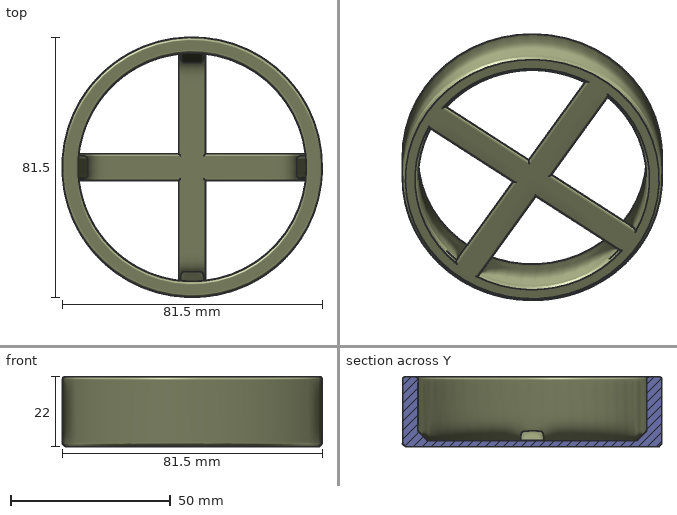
import cadquery as cq

outer_diameter = 81.5
inner_diameter = 71.5
ring_height = 22.0
top_edge_radius = 1.0
bottom_chamfer = 1.0
chamfer_blend_radius = 1.0

bar_width = 8.5
bar_thickness = 2.0
bar_edge_radius = 0.7

gusset_count = 4
gusset_width = bar_width - 2 * bar_edge_radius
gusset_reach = 3.0
gusset_rise = 3.0
gusset_edge_radius = 1.0

outer_radius = outer_diameter / 2
inner_radius = inner_diameter / 2
embed_radius = (inner_radius + outer_radius) / 2


def make_ring():
    ring = cq.Workplane("XY").circle(outer_radius).circle(inner_radius).extrude(ring_height)
    ring = ring.faces(">Z").edges().fillet(top_edge_radius)
    ring = ring.faces("<Z").edges().chamfer(bottom_chamfer)

    around_chamfer_top = cq.selectors.BoxSelector(
        (-outer_diameter, -outer_diameter, bottom_chamfer / 2),
        (outer_diameter, outer_diameter, bottom_chamfer * 3 / 2),
    )
    return ring.edges("%CIRCLE").edges(around_chamfer_top).fillet(chamfer_blend_radius)


def make_cross():
    bar_length = 2 * embed_radius
    bar_along_x = cq.Workplane("XY").rect(bar_length, bar_width).extrude(bar_thickness)
    bar_along_y = cq.Workplane("XY").rect(bar_width, bar_length).extrude(bar_thickness)
    cross = bar_along_x.union(bar_along_y)
    return cross.faces(">Z or <Z").edges().fillet(bar_edge_radius)


def make_gusset():
    """Gusset at the +X bar end, with its slope carried on into the wall."""
    toe_radius = inner_radius - gusset_reach
    slope = gusset_rise / gusset_reach
    embedded_rise = slope * (embed_radius - toe_radius)
    wedge = (
        cq.Workplane("XZ")
        .moveTo(toe_radius, bar_thickness)
        .lineTo(embed_radius, bar_thickness)
        .lineTo(embed_radius, bar_thickness + embedded_rise)
        .close()
        .extrude(gusset_width / 2, both=True)
    )
    sloped_edges = wedge.edges("not (|X or |Y or |Z)")
    return sloped_edges.fillet(gusset_edge_radius)


result = make_ring().union(make_cross())
gusset = make_gusset()
for index in range(gusset_count):
    angle = index * 360 / gusset_count
    result = result.union(gusset.rotate((0, 0, 0), (0, 0, 1), angle))